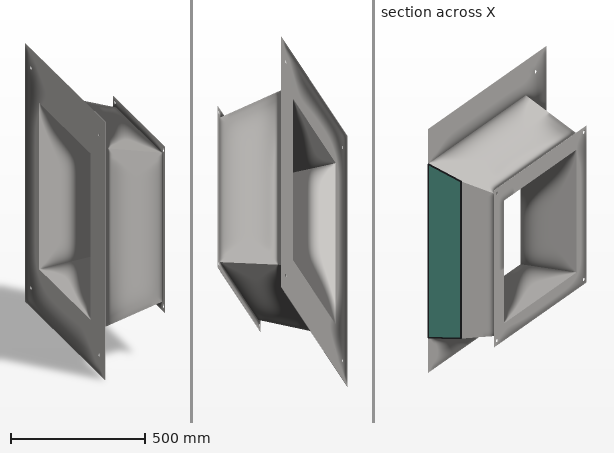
import cadquery as cq

depth = 290.0
sheet = 1.0
plate_side = 1010.0
flange_side = 650.0

duct_front = 720.0
duct_back = 580.0
lining_wall = 35.0

plate_hole_pitch = 860.0
hole_diameter = 13.0
flange_hole_pitch = 610.0


def tapered_block(front_side, back_side):
    """Solid square frustum over the full depth, centred on the Y axis."""
    return (
        cq.Workplane("XZ")
        .rect(front_side, front_side)
        .workplane(offset=-depth)
        .rect(back_side, back_side)
        .loft(ruled=True)
    )


def drilled_sheet(side, front_y, hole_pitch):
    """Square sheet with one hole near each corner."""
    sheet_plane = cq.Workplane("XZ", origin=(0, front_y, 0))
    plate = sheet_plane.rect(side, side).extrude(-sheet)
    holes = (
        sheet_plane.rect(hole_pitch, hole_pitch, forConstruction=True)
        .vertices()
        .circle(hole_diameter / 2)
        .extrude(-sheet)
    )
    return plate.cut(holes)


def make_housing():
    """Front plate, tapered skin and rear flange as one sheet-metal body."""
    plate = drilled_sheet(plate_side, 0, plate_hole_pitch)
    flange = drilled_sheet(flange_side, depth - sheet, flange_hole_pitch)
    skin = tapered_block(duct_front + 2 * sheet, duct_back + 2 * sheet)
    passage = tapered_block(duct_front, duct_back)
    return plate.union(skin).union(flange).cut(passage)


def make_lining():
    """Tapered lining that fills the skin and leaves a square opening."""
    opening = tapered_block(duct_front - 2 * lining_wall, duct_back - 2 * lining_wall)
    return tapered_block(duct_front, duct_back).cut(opening)


housing = make_housing()
lining = make_lining()

result = cq.Compound.makeCompound([housing.val(), lining.val()])